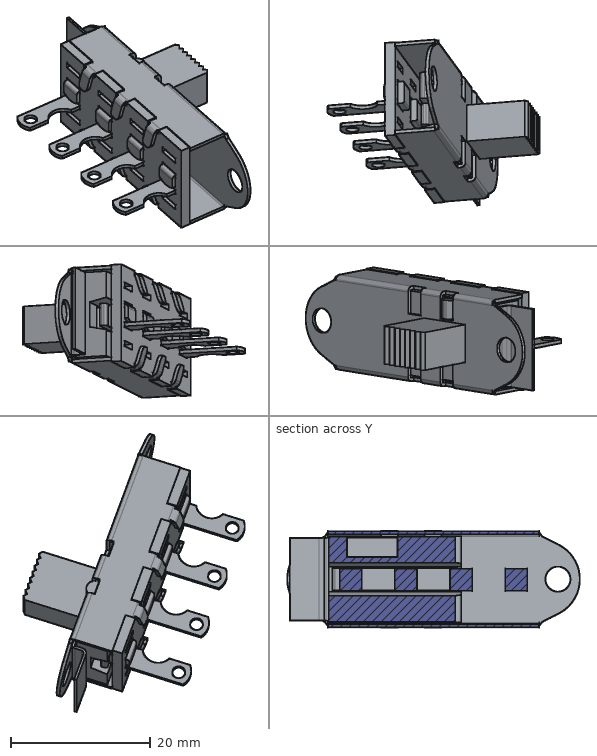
import cadquery as cq
import math


SHEET = 0.52
FRAME_LENGTH = 30.28
FRAME_HEIGHT = 13.87
FRAME_DEPTH = 6.44
FRAME_BEND_RADIUS = 0.75

OVERALL_LENGTH = 42.02
EAR_ARC_RADIUS = 5.54
EAR_HOLE_DIAMETER = 3.56
EAR_HOLE_OFFSET = 17.85
EAR_ROOT_HALF_HEIGHT = 6.15
EAR_ROOT_LENGTH = 0.45
EAR_FLARE_HALF_HEIGHT = 6.75

WINDOW_CENTERS = (-6.3, -0.06)
WINDOW_WIDTH = 2.4
WINDOW_DEPTH = 1.15
WINDOW_INNER_Z = 3.0

BOARD_LENGTH = 30.06
BOARD_HEIGHT = 14.12
BOARD_THICKNESS = 1.5
BOARD_FRONT = -FRAME_DEPTH
BOARD_BACK = BOARD_FRONT - BOARD_THICKNESS
PITCH = 7.92
TERMINAL_COUNT = 4
TERMINAL_CENTERS = [(i - (TERMINAL_COUNT - 1) / 2) * PITCH for i in range(TERMINAL_COUNT)]
TAB_CENTERS = [x + PITCH / 2 for x in TERMINAL_CENTERS[:-1]]
SLOT_LENGTH = 3.26
SLOT_HEIGHT = 0.82
SLOT_ROWS = (-4.24, -1.47, 1.47, 4.24)

NOTCH_WIDTH = 2.63
TAB_WIDTH = 2.5
ARM_WIDTH = 1.93
STEM_END = -7.75
ARM_TIP_Y = -9.2
ARM_TIP_Z = 3.75
ARM_ANGLE = math.radians(17)
ARM_BEND_RADIUS = 1.15
ARM_TIP_RADIUS = 0.95

TERMINAL_WIDTH = 3.2
TERMINAL_SHEET = 0.55
TERMINAL_TIP = -17.17
TERMINAL_TIP_RISE = 0.55
TERMINAL_HOLE_DIAMETER = 1.83
TERMINAL_HOLE_Y = -15.41
NOTCH_START = -9.43
NOTCH_END = -13.45
NOTCH_DEPTH = 1.27
BLADE_OUTER_Z = 1.74
CLIP_BASE = -5.46
CLIP_OUTER_Z = 1.55
CLIP_BASE_RADIUS = 0.3
CLIP_FLAP_Z = -0.93
CLIP_FLAP_RISE = 0.38
CLIP_SHEET = 0.52
CLIP_BACK = BOARD_BACK - CLIP_SHEET
CLIP_BEND_RADIUS = 0.6

KNOB_CENTER = -5.97
KNOB_LENGTH = 7.94
KNOB_HEIGHT = 5.5
KNOB_TOP = 9.0
TOOTH_COUNT = 8
TOOTH_DEPTH = 0.43
SLIDER_LEFT = -15.05
SLIDER_RIGHT = 3.97
SLIDER_FRONT = -1.05
SLIDER_BACK = -5.68
SLIDER_HEIGHT = 12.3
SLIDER_END_RADIUS = 0.87
GROOVE_FLOOR = -3.14
GROOVE_FLOOR_HEIGHT = 3.6
GROOVE_MOUTH_HEIGHT = 4.7
RECESS_LEFT = -12.4
RECESS_RIGHT = -5.2
RECESS_DEPTH = 0.4

CONTACT_HEIGHT = 3.2
CONTACT_FRONT = -4.4
CONTACT_INSET = 0.55
CONTACT_END_RADIUS = 0.35
STEM_FLOOR_INSET = 3.0
STEM_TOP_INSET = 6.0

SPRING_SHEET = 0.38
SPRING_HEIGHT = 11.87
SPRING_RIGHT = -2.0
TONGUE_TIP = -20.6
TONGUE_LEG = -15.65
TONGUE_BACK = -2.92
TONGUE_BEND_RADIUS = 0.45
TOP_BEND_RADIUS = 0.18
BUMP_WIDTH = WINDOW_WIDTH
BUMP_TOP = 0.43
BUMP_INNER_Z = 3.2


def block(x_range, y_range, z_range):
    size = [high - low for low, high in (x_range, y_range, z_range)]
    low_corner = (x_range[0], y_range[0], z_range[0])
    return cq.Workplane("XY").box(*size, centered=False).translate(low_corner)


def centered(middle, length):
    return (middle - length / 2, middle + length / 2)


def facing_plane(y):
    """Plane across Y at the given height; sketches use X and Z, extrusions go to -Y."""
    return cq.Workplane("XZ", origin=(0, y, 0))


def make_ear():
    tip = OVERALL_LENGTH / 2
    arc_center = tip - EAR_ARC_RADIUS
    root = FRAME_LENGTH / 2
    shoulder = root + EAR_ROOT_LENGTH
    distance = math.hypot(shoulder - arc_center, EAR_ROOT_HALF_HEIGHT)
    direction = math.atan2(EAR_ROOT_HALF_HEIGHT, shoulder - arc_center)
    touch_angle = direction - math.acos(EAR_ARC_RADIUS / distance)
    touch_x = arc_center + EAR_ARC_RADIUS * math.cos(touch_angle)
    touch_z = EAR_ARC_RADIUS * math.sin(touch_angle)
    inside = root - SHEET
    return (
        facing_plane(0)
        .moveTo(inside, EAR_ROOT_HALF_HEIGHT)
        .lineTo(root, EAR_ROOT_HALF_HEIGHT)
        .lineTo(root, EAR_FLARE_HALF_HEIGHT)
        .lineTo(shoulder, EAR_ROOT_HALF_HEIGHT)
        .lineTo(touch_x, touch_z)
        .threePointArc((tip, 0), (touch_x, -touch_z))
        .lineTo(shoulder, -EAR_ROOT_HALF_HEIGHT)
        .lineTo(root, -EAR_FLARE_HALF_HEIGHT)
        .lineTo(root, -EAR_ROOT_HALF_HEIGHT)
        .lineTo(inside, -EAR_ROOT_HALF_HEIGHT)
        .close()
        .extrude(SHEET)
        .cut(facing_plane(0).center(EAR_HOLE_OFFSET, 0).circle(EAR_HOLE_DIAMETER / 2).extrude(SHEET))
    )


def make_frame():
    length = centered(0, FRAME_LENGTH)
    inner_height = FRAME_HEIGHT - 2 * SHEET
    frame = block(length, (-FRAME_DEPTH, 0), centered(0, FRAME_HEIGHT))
    frame = frame.edges("|X and >Y").fillet(FRAME_BEND_RADIUS)
    hollow = block(length, (-FRAME_DEPTH, -SHEET), centered(0, inner_height))
    hollow = hollow.edges("|X and >Y").fillet(FRAME_BEND_RADIUS - SHEET)
    frame = frame.cut(hollow)
    for center in WINDOW_CENTERS:
        for z_range in ((WINDOW_INNER_Z, FRAME_HEIGHT / 2), (-FRAME_HEIGHT / 2, -WINDOW_INNER_Z)):
            frame = frame.cut(block(centered(center, WINDOW_WIDTH), (-WINDOW_DEPTH, 0), z_range))
    ear = make_ear()
    return frame.union(ear).union(ear.mirror("YZ"))


def make_tab():
    """One clinched tab on the +Z wall, centred at X = 0."""
    outer_z = FRAME_HEIGHT / 2
    inner_z = outer_z - SHEET
    slope = math.tan(ARM_ANGLE)
    tip_outer_z = ARM_TIP_Z + SHEET * math.sin(ARM_ANGLE)
    tip_inner_y = ARM_TIP_Y + SHEET * math.cos(ARM_ANGLE)
    outer_corner_y = ARM_TIP_Y + (outer_z - tip_outer_z) * slope
    inner_corner_y = tip_inner_y + (inner_z - ARM_TIP_Z) * slope
    strip = (
        cq.Workplane("YZ")
        .moveTo(BOARD_FRONT, outer_z)
        .lineTo(outer_corner_y, outer_z)
        .lineTo(ARM_TIP_Y, tip_outer_z)
        .lineTo(tip_inner_y, ARM_TIP_Z)
        .lineTo(inner_corner_y, inner_z)
        .lineTo(BOARD_FRONT, inner_z)
        .close()
        .extrude(TAB_WIDTH / 2, both=True)
    )
    bend_point = (0, outer_corner_y, outer_z)
    inner_bend_point = (0, inner_corner_y, inner_z)
    strip = strip.edges(cq.NearestToPointSelector(bend_point)).fillet(ARM_BEND_RADIUS)
    strip = strip.edges(cq.NearestToPointSelector(inner_bend_point)).fillet(ARM_BEND_RADIUS - SHEET)
    stem_room = block(centered(0, TAB_WIDTH), (STEM_END, BOARD_FRONT), (inner_z, outer_z))
    arm_room = block(centered(0, ARM_WIDTH), (ARM_TIP_Y, STEM_END), (ARM_TIP_Z, outer_z))
    arm_room = arm_room.edges("|Y and <Z").fillet(ARM_TIP_RADIUS)
    return strip.intersect(stem_room.union(arm_room))


def make_board():
    board = block(centered(0, BOARD_LENGTH), (BOARD_BACK, BOARD_FRONT), centered(0, BOARD_HEIGHT))
    notch_floor = FRAME_HEIGHT / 2 - SHEET
    for center in TAB_CENTERS:
        notch_x = centered(center, NOTCH_WIDTH)
        notch = block(notch_x, (BOARD_BACK, BOARD_FRONT), (notch_floor, BOARD_HEIGHT / 2))
        board = board.cut(notch).cut(notch.mirror("XY"))
    slots = (
        facing_plane(BOARD_FRONT)
        .pushPoints([(x, z) for x in TERMINAL_CENTERS for z in SLOT_ROWS])
        .rect(SLOT_LENGTH, SLOT_HEIGHT)
        .extrude(BOARD_THICKNESS)
    )
    return board.cut(slots)


def make_terminal():
    """One terminal centred at X = 0: blade, cross web inside the switch and clinched flap."""
    half = TERMINAL_WIDTH / 2
    corner = TERMINAL_TIP + TERMINAL_TIP_RISE
    notch_middle = (NOTCH_START + NOTCH_END) / 2
    blade = (
        cq.Workplane("XY", origin=(0, 0, -BLADE_OUTER_Z))
        .moveTo(-half, BOARD_FRONT)
        .lineTo(half, BOARD_FRONT)
        .lineTo(half, NOTCH_START)
        .threePointArc((half - NOTCH_DEPTH, notch_middle), (half, NOTCH_END))
        .lineTo(half, corner)
        .threePointArc((0, TERMINAL_TIP), (-half, corner))
        .close()
        .extrude(TERMINAL_SHEET)
    )
    hole = (
        cq.Workplane("XY", origin=(0, TERMINAL_HOLE_Y, -BLADE_OUTER_Z))
        .circle(TERMINAL_HOLE_DIAMETER / 2)
        .extrude(TERMINAL_SHEET)
    )
    width = centered(0, TERMINAL_WIDTH)
    web = block(width, (BOARD_FRONT, CLIP_BASE), (-BLADE_OUTER_Z, CLIP_OUTER_Z))
    web = web.edges("|X and >Y").fillet(CLIP_BASE_RADIUS)
    leg = block(width, (CLIP_BACK, BOARD_FRONT), (CLIP_OUTER_Z - TERMINAL_SHEET, CLIP_OUTER_Z))
    flap_corner = CLIP_FLAP_Z + CLIP_FLAP_RISE
    flap = (
        facing_plane(BOARD_BACK)
        .moveTo(-half, CLIP_OUTER_Z)
        .lineTo(-half, flap_corner)
        .threePointArc((0, CLIP_FLAP_Z), (half, flap_corner))
        .lineTo(half, CLIP_OUTER_Z)
        .close()
        .extrude(BOARD_BACK - CLIP_BACK)
    )
    clip = leg.union(flap)
    clip = clip.edges("|X and >Z and <Y").fillet(CLIP_BEND_RADIUS)
    return blade.cut(hole).union(web).union(clip)


def make_knob():
    left, right = centered(KNOB_CENTER, KNOB_LENGTH)
    tooth = KNOB_LENGTH / TOOTH_COUNT
    valley = KNOB_TOP - TOOTH_DEPTH
    outline = cq.Workplane("XY").moveTo(right, SLIDER_FRONT).lineTo(left, SLIDER_FRONT).lineTo(left, valley)
    for i in range(TOOTH_COUNT):
        outline = outline.lineTo(left + (i + 0.5) * tooth, KNOB_TOP).lineTo(left + (i + 1) * tooth, valley)
    return outline.close().extrude(KNOB_HEIGHT / 2, both=True)


def make_slider():
    length = (SLIDER_LEFT, SLIDER_RIGHT)
    body = block(length, (SLIDER_BACK, SLIDER_FRONT), centered(0, SLIDER_HEIGHT))
    body = body.edges("|Z and >X and <Y").fillet(SLIDER_END_RADIUS)
    groove = (
        cq.Workplane("YZ", origin=(SLIDER_LEFT, 0, 0))
        .moveTo(GROOVE_FLOOR, GROOVE_FLOOR_HEIGHT / 2)
        .lineTo(SLIDER_BACK, GROOVE_MOUTH_HEIGHT / 2)
        .lineTo(SLIDER_BACK, -GROOVE_MOUTH_HEIGHT / 2)
        .lineTo(GROOVE_FLOOR, -GROOVE_FLOOR_HEIGHT / 2)
        .close()
        .extrude(SLIDER_RIGHT - SLIDER_LEFT)
    )
    contact_length = (SLIDER_LEFT + CONTACT_INSET, SLIDER_RIGHT - CONTACT_INSET)
    contact = block(contact_length, (CLIP_BASE, CONTACT_FRONT), centered(0, CONTACT_HEIGHT))
    contact = contact.edges("|Z").fillet(CONTACT_END_RADIUS)
    stem = (
        cq.Workplane("XY")
        .moveTo(SLIDER_LEFT + STEM_FLOOR_INSET, GROOVE_FLOOR)
        .lineTo(SLIDER_LEFT + STEM_TOP_INSET, CONTACT_FRONT)
        .lineTo(SLIDER_RIGHT - STEM_TOP_INSET, CONTACT_FRONT)
        .lineTo(SLIDER_RIGHT - STEM_FLOOR_INSET, GROOVE_FLOOR)
        .close()
        .extrude(CONTACT_HEIGHT / 2, both=True)
    )
    recess_depth = (SLIDER_BACK, SLIDER_BACK + RECESS_DEPTH)
    recess = block((RECESS_LEFT, RECESS_RIGHT), recess_depth, (BUMP_INNER_Z, SPRING_HEIGHT / 2))
    return body.cut(groove).cut(recess).union(contact).union(stem).union(make_knob())


def make_spring():
    front = -SHEET
    back = front - SPRING_SHEET
    leg_outer = TONGUE_LEG - SPRING_SHEET
    tongue_front = TONGUE_BACK + SPRING_SHEET
    inner = TONGUE_BEND_RADIUS
    outer = inner + SPRING_SHEET
    top_outer = TOP_BEND_RADIUS + SPRING_SHEET
    strip = (
        cq.Workplane("XY")
        .moveTo(SPRING_RIGHT, back)
        .lineTo(TONGUE_LEG + TOP_BEND_RADIUS, back)
        .radiusArc((TONGUE_LEG, back - TOP_BEND_RADIUS), -TOP_BEND_RADIUS)
        .lineTo(TONGUE_LEG, TONGUE_BACK + outer)
        .radiusArc((TONGUE_LEG - outer, TONGUE_BACK), outer)
        .lineTo(TONGUE_TIP, TONGUE_BACK)
        .lineTo(TONGUE_TIP, tongue_front)
        .lineTo(leg_outer - inner, tongue_front)
        .radiusArc((leg_outer, tongue_front + inner), -inner)
        .lineTo(leg_outer, front - top_outer)
        .radiusArc((leg_outer + top_outer, front), top_outer)
        .lineTo(SPRING_RIGHT, front)
        .close()
        .extrude(SPRING_HEIGHT / 2, both=True)
    )
    half = BUMP_WIDTH / 2
    bump = (
        cq.Workplane("XY", origin=(WINDOW_CENTERS[0], 0, BUMP_INNER_Z))
        .moveTo(-half, SLIDER_FRONT)
        .lineTo(-half, -SHEET)
        .threePointArc((0, BUMP_TOP), (half, -SHEET))
        .lineTo(half, SLIDER_FRONT)
        .close()
        .extrude(SPRING_HEIGHT / 2 - BUMP_INNER_Z)
    )
    return strip.union(bump)


result = make_frame().union(make_board()).union(make_slider()).union(make_spring())
tab = make_tab()
for tab_x in TAB_CENTERS:
    result = result.union(tab.translate((tab_x, 0, 0)))
    result = result.union(tab.mirror("XY").translate((tab_x, 0, 0)))
terminal = make_terminal()
for terminal_x in TERMINAL_CENTERS:
    result = result.union(terminal.translate((terminal_x, 0, 0)))